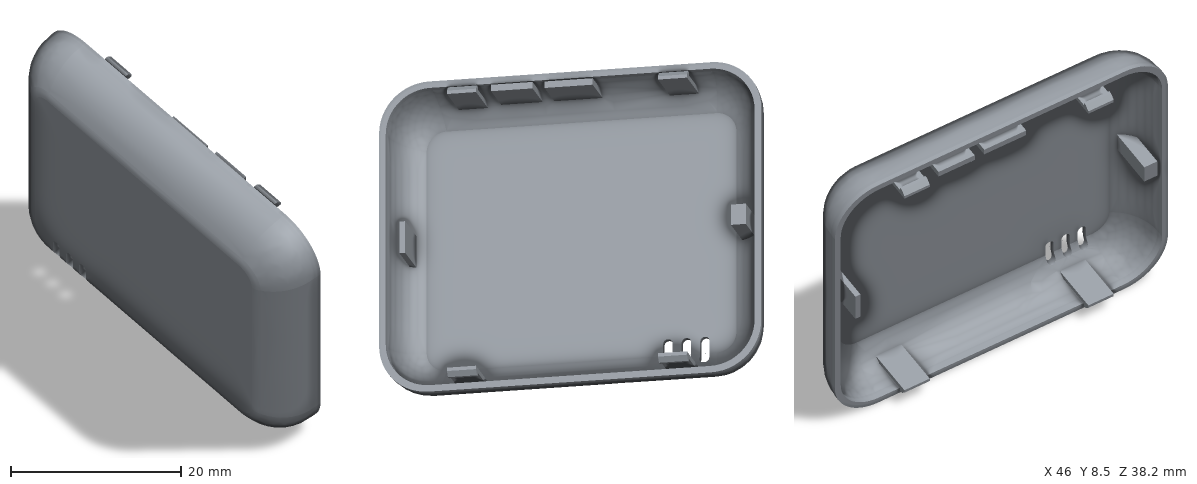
import cadquery as cq
import math

LENGTH = 46.0
HEIGHT = 38.2
DEPTH = 6.8
WALL = 0.75

RIM_DEPTH = 0.55
ARC_START_DEPTH = 0.97
ARC_START_INSET = 0.05
ARC_END_INSET = 3.4
ARC_END_DEPTH = 6.45
FACE_INSET = 4.55
ARC_STEPS = 8
ROUNDING_STEPS = 3

RIM_CORNER_RADIUS = 6.0
CORNER_DRIFT = 0.8

SLOT_COUNT = 3
SLOT_PITCH = 2.23
SLOT_FIRST_X = -14.86
SLOT_WIDTH = 1.15
SLOT_BOTTOM_Z = -16.05
SLOT_TOP_Z = -12.7

HOOK_WIDTH = 3.5
HOOK_X = 12.7
HOOK_RISE = 1.7
HOOK_INNER_Z = 16.85
HOOK_STEM = 0.6
HOOK_BARB = 0.4
HOOK_BARB_RISE = 0.7
HOOK_CHAMFER = 0.58

TOP_PLATES = [(0.0, 5.8, 0.85), (6.8, 5.0, 1.0)]
PLATE_OUTER_Z = HOOK_INNER_Z + HOOK_STEM + HOOK_BARB
PLATE_THICKNESS = 0.8

SIDE_TABS = [(-19.45, -21.25, 2.5), (19.75, 20.45, 3.9)]
TAB_RISE = 0.45


def arc_radius():
    """Radius of the arc that leaves the taper parallel to Y and ends at the front rounding."""
    run = ARC_END_INSET - ARC_START_INSET
    drop = ARC_END_DEPTH - ARC_START_DEPTH
    return (run**2 + drop**2) / (2 * run)


ARC_RADIUS = arc_radius()
ARC_ANGLE = math.asin((ARC_END_DEPTH - ARC_START_DEPTH) / ARC_RADIUS)


def arc_point(angle, offset=0.0):
    """(inset, depth) on the large arc, moved inward by offset."""
    radius = ARC_RADIUS - offset
    inset = ARC_START_INSET + ARC_RADIUS - radius * math.cos(angle)
    return inset, ARC_START_DEPTH + radius * math.sin(angle)


def rounding_point(fraction):
    """(inset, depth) on the front edge rounding, which ends tangent to the front face."""
    run = FACE_INSET - ARC_END_INSET
    drop = DEPTH - ARC_END_DEPTH
    radius = (run**2 + drop**2) / (2 * drop)
    angle = math.asin(run / radius) * (1 - fraction)
    return FACE_INSET - radius * math.sin(angle), DEPTH - radius * (1 - math.cos(angle))


def section(inset, depth):
    """Rounded rectangle at a given inset from the rim outline and depth below the rim."""
    radius = RIM_CORNER_RADIUS + CORNER_DRIFT * inset / FACE_INSET - inset
    outline = cq.Sketch().rect(LENGTH - 2 * inset, HEIGHT - 2 * inset).vertices().fillet(radius)
    return outline.moved(cq.Location(cq.Vector(0, 0, depth)))


def loft(points, ruled=False):
    """Solid through the sections at the given (inset, depth) points."""
    sections = [section(inset, depth) for inset, depth in points]
    return cq.Workplane("XZ").placeSketch(*sections).loft(ruled=ruled)


def box(x_range, y_range, z_range):
    """Block between the two ends of each range, given in either order."""
    spans = [abs(high - low) for low, high in (x_range, y_range, z_range)]
    corner = [min(span) for span in (x_range, y_range, z_range)]
    return cq.Workplane().box(*spans, centered=False).translate(tuple(corner))


def make_outer():
    """Solid envelope of the shell, from the rim to the front face."""
    arc = [arc_point(ARC_ANGLE * i / ARC_STEPS) for i in range(ARC_STEPS + 1)]
    rounding = [rounding_point(i / ROUNDING_STEPS) for i in range(ROUNDING_STEPS + 1)]
    band = loft([(0, 0), (0, RIM_DEPTH)], ruled=True)
    taper = loft([(0, RIM_DEPTH), arc[0]], ruled=True)
    return band.union(taper).union(loft(arc)).union(loft([arc[-1]] + rounding[1:]))


def make_cavity():
    """Hollow that leaves an even wall behind the curved sides and the front face."""
    floor_depth = DEPTH - WALL
    end_angle = math.asin((floor_depth - ARC_START_DEPTH) / (ARC_RADIUS - WALL))
    arc = [arc_point(end_angle * i / ARC_STEPS, WALL) for i in range(ARC_STEPS + 1)]
    mouth = loft([(arc[0][0], 0), arc[0]], ruled=True)
    return mouth.union(loft(arc))


def make_slots():
    """Row of upright slots, cut straight through along Y."""
    length = SLOT_TOP_Z - SLOT_BOTTOM_Z
    middle_z = (SLOT_TOP_Z + SLOT_BOTTOM_Z) / 2
    centers = [(SLOT_FIRST_X + i * SLOT_PITCH, middle_z) for i in range(SLOT_COUNT)]
    return cq.Workplane("XZ").pushPoints(centers).slot2D(length, SLOT_WIDTH, 90).extrude(DEPTH)


def make_hook(x):
    """Hook on the top wall; its stem rises from the front wall and its barb points outward."""
    stem_z = HOOK_INNER_Z + HOOK_STEM
    barb_z = stem_z + HOOK_BARB
    return (
        cq.Workplane("YZ", origin=(x - HOOK_WIDTH / 2, 0, 0))
        .moveTo(-DEPTH, HOOK_INNER_Z)
        .lineTo(HOOK_RISE, HOOK_INNER_Z)
        .lineTo(HOOK_RISE, barb_z - HOOK_CHAMFER)
        .lineTo(HOOK_RISE - HOOK_CHAMFER, barb_z)
        .lineTo(HOOK_BARB_RISE, barb_z)
        .lineTo(HOOK_BARB_RISE, stem_z)
        .lineTo(-DEPTH, stem_z)
        .close()
        .extrude(HOOK_WIDTH)
    )


def make_fittings():
    """Hooks, plates and tabs, all reaching down into the curved wall."""
    fittings = []
    for x in (-HOOK_X, HOOK_X):
        hook = make_hook(x)
        fittings += [hook, hook.mirror("XY")]
    for x, width, rise in TOP_PLATES:
        z_range = (PLATE_OUTER_Z - PLATE_THICKNESS, PLATE_OUTER_Z)
        fittings.append(box((x - width / 2, x + width / 2), (-DEPTH, rise), z_range))
    for inner_x, outer_x, length in SIDE_TABS:
        fittings.append(box((inner_x, outer_x), (-DEPTH, TAB_RISE), (-length / 2, length / 2)))
    return fittings


outer = make_outer()
allowed = outer.union(box((-LENGTH / 2, LENGTH / 2), (0, HOOK_RISE), (-HEIGHT / 2, HEIGHT / 2)))
shell = outer.cut(make_cavity())
for fitting in make_fittings():
    shell = shell.union(fitting.intersect(allowed))
result = shell.cut(make_slots())